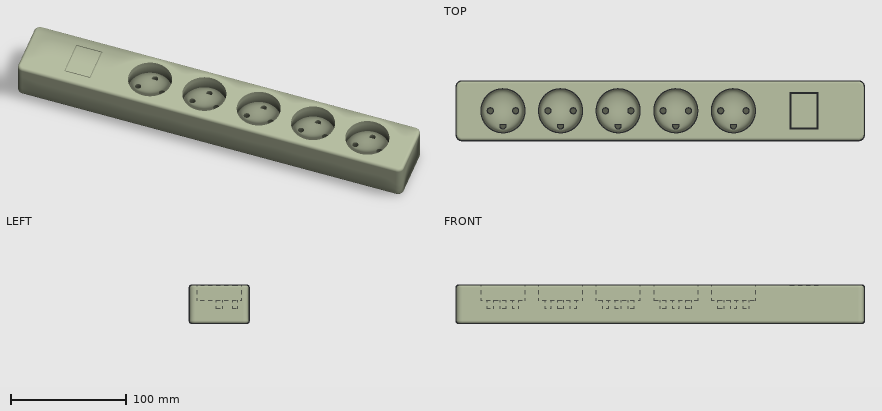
import cadquery as cq

length = 355.0
width = 52.2
height = 33.7
corner_radius = 5.5
edge_radius = 2.5

socket_count = 5
socket_pitch = 50.0
first_socket_x = -136.5
socket_diameter = 38.5
socket_depth = 13.5

pin_diameter = 5.5
pin_spacing = 22.0
earth_diameter = 5.5
earth_flat_height = 1.5
earth_offset = 13.0
contact_depth = 7.0

switch_x = 125.0
switch_length = 24.0
switch_width = 31.5
groove_width = 0.9
groove_depth = 0.7

top_z = height / 2
socket_floor_z = top_z - socket_depth
socket_positions = [first_socket_x + i * socket_pitch for i in range(socket_count)]


def make_housing():
    """Rounded bar centred on the origin."""
    bar = cq.Workplane("XY").box(length, width, height)
    bar = bar.edges("|Z").fillet(corner_radius)
    return bar.faces("<Z or >Z").edges().fillet(edge_radius)


def make_earth_hole():
    """D-shaped hole: a half circle on the -Y side of a short straight-sided strip."""
    radius = earth_diameter / 2
    return (
        cq.Workplane("XY")
        .moveTo(-radius, earth_flat_height)
        .lineTo(-radius, 0)
        .threePointArc((0, -radius), (radius, 0))
        .lineTo(radius, earth_flat_height)
        .close()
        .extrude(-contact_depth)
    )


def make_socket():
    """Space removed by one socket, with its axis on Z."""
    floor = cq.Workplane("XY", origin=(0, 0, socket_floor_z))
    recess = floor.circle(socket_diameter / 2).extrude(socket_depth)
    pins = (
        floor
        .pushPoints([(-pin_spacing / 2, 0), (pin_spacing / 2, 0)])
        .circle(pin_diameter / 2)
        .extrude(-contact_depth)
    )
    earth = make_earth_hole().translate((0, -earth_offset, socket_floor_z))
    return recess.union(pins).union(earth)


def make_switch_groove():
    """Rectangular ring removed around the switch."""
    return (
        cq.Workplane("XY", origin=(switch_x, 0, top_z))
        .rect(switch_length, switch_width)
        .rect(switch_length - 2 * groove_width, switch_width - 2 * groove_width)
        .extrude(-groove_depth)
    )


result = make_housing()
socket = make_socket()
for socket_x in socket_positions:
    result = result.cut(socket.translate((socket_x, 0, 0)))
result = result.cut(make_switch_groove())